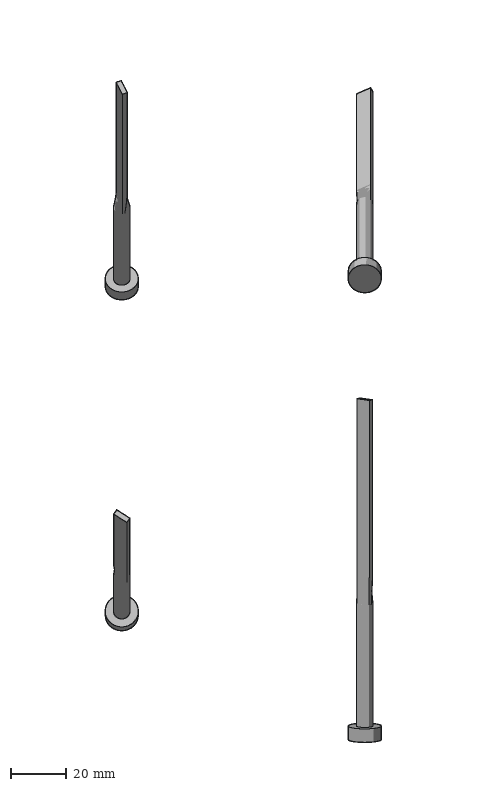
import cadquery as cq

total_length = 125.0
head_diameter = 12.0
head_height = 5.0
shank_diameter = 6.0
blade_length = 65.0
blade_width = 5.8
blade_thickness = 2.0
transition_length = 10.0

blade_base = total_length - blade_length
shank_top = blade_base - transition_length

head = cq.Workplane("XY").circle(head_diameter / 2).extrude(head_height)

shank = cq.Workplane("XY").circle(shank_diameter / 2).extrude(shank_top)

transition = (
    cq.Workplane("XY", origin=(0, 0, shank_top))
    .circle(shank_diameter / 2)
    .workplane(offset=transition_length)
    .rect(blade_width, blade_thickness)
    .loft(ruled=True)
)

blade = (
    cq.Workplane("XY", origin=(0, 0, blade_base))
    .rect(blade_width, blade_thickness)
    .extrude(blade_length)
)

result = head.union(shank).union(transition).union(blade)